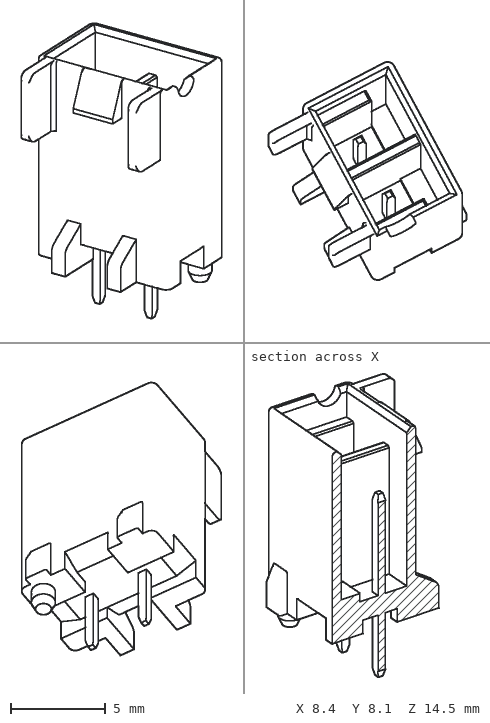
import cadquery as cq

BODY_X = 8.4
BODY_Y = 5.4
BODY_Z = 11.5
CORNER_RADIUS = 0.4
RIM_RADIUS = 0.2
WALL = 0.6
FRONT = -BODY_Y / 2
BACK = BODY_Y / 2
INNER_X = BODY_X / 2 - WALL
INNER_Y = BODY_Y / 2 - WALL

FLOOR_Z = 2.0
FLOOR_STEP_HEIGHT = 0.5
FLOOR_STEP_Y = 0.9
MOUTH_CHAMFER = 0.28

RAIL_TOP_Z = 9.7
RAIL_CHAMFER = 0.1
DIVIDER_WIDTH = 0.62
SIDE_RAIL_WIDTH = 0.65

NOTCH_RADIUS = 0.77
NOTCH_Y = -1.0

WEDGE_WIDTH = 2.5
WEDGE_REACH = 0.85
WEDGE_BOTTOM_Z = 9.3
WEDGE_LIP = 0.25

ARM_OUTER_X = 3.7
ARM_WIDTH = 0.6
ARM_REACH = 2.2
ARM_HEIGHT = 4.0
ARM_CORNER_RADIUS = 0.5
ARM_EDGE_RADIUS = 0.1
ARM_GUSSET = 0.2

FOOT_INNER_X = 1.33
FOOT_WIDTH = 0.85
FOOT_REACH = 1.5
FOOT_TOP_Z = 2.5
FOOT_SHOULDER_Z = 1.5
FOOT_RADIUS = 0.5

RIB_INNER_X = 2.2
RIB_WIDTH = 1.3
RIB_REACH = 0.5
RIB_TOP_Z = 2.5
RIB_SHOULDER_Z = 1.5
RIB_SHOULDER_RADIUS = 0.5
RIB_EDGE_RADIUS = 0.1

CHANNEL_MOUTH_Z = 1.3
CHANNEL_CEILING_Z = 0.8
CHANNEL_SLOPE_RUN = 1.2
SIDE_CHANNEL_FRONT_Y = -1.5
SIDE_CHANNEL_BACK_Y = 0.7

PIN_PITCH = 3.3
PIN_Y = -0.5
PIN_SIZE = 0.5
PIN_TIP_SIZE = 0.3
PIN_TIP_LENGTH = 0.42
PIN_TOP_Z = 8.0
PIN_BOTTOM_Z = -3.0

PEG_X = 3.2
PEG_Y = 1.85
PEG_DIAMETER = 1.27
PEG_TIP_DIAMETER = 0.83
PEG_SHOULDER_Z = -0.8
PEG_BOTTOM_Z = -1.3


def block(x_range, y_range, z_range):
    """Box spanning the given (low, high) pairs."""
    spans = (x_range, y_range, z_range)
    sizes = [high - low for low, high in spans]
    corner = [low for low, high in spans]
    return cq.Workplane("XY").box(*sizes, centered=False).translate(tuple(corner))


def prism_along_x(yz_points, x_low, x_high):
    """Solid with the given YZ outline between two X positions."""
    return cq.Workplane("YZ", origin=(x_low, 0, 0)).polyline(yz_points).close().extrude(x_high - x_low)


def with_mirror(solid):
    """The solid together with its mirror image across the YZ plane."""
    return solid.union(solid.mirror("YZ"))


def outer_body():
    """Box with rounded corners and a rounded rim."""
    box = cq.Workplane("XY").rect(BODY_X, BODY_Y).extrude(BODY_Z).edges("|Z").fillet(CORNER_RADIUS)
    return box.faces(">Z").edges().fillet(RIM_RADIUS)


def latch_wedge():
    """Wedge on the front wall that starts at the rim, where it is rounded like the rim."""
    wedge_outline = [
        (0, BODY_Z),
        (FRONT, BODY_Z),
        (FRONT - WEDGE_REACH, WEDGE_BOTTOM_Z + WEDGE_LIP),
        (FRONT - WEDGE_REACH, WEDGE_BOTTOM_Z),
        (0, WEDGE_BOTTOM_Z),
    ]
    wedge = prism_along_x(wedge_outline, -WEDGE_WIDTH / 2, WEDGE_WIDTH / 2)
    return wedge.faces(">Z").edges("<Y").fillet(RIM_RADIUS)


def cavity():
    """Space inside the housing: a stepped floor and a mouth that widens upwards."""
    main = block((-INNER_X, INNER_X), (-INNER_Y, INNER_Y), (FLOOR_Z, BODY_Z))
    step = block(
        (-INNER_X, INNER_X),
        (FLOOR_STEP_Y, INNER_Y),
        (FLOOR_Z, FLOOR_Z + FLOOR_STEP_HEIGHT),
    )
    mouth = (
        cq.Workplane("XY", origin=(0, 0, BODY_Z - MOUTH_CHAMFER))
        .rect(2 * INNER_X, 2 * INNER_Y)
        .workplane(offset=MOUTH_CHAMFER)
        .rect(2 * (INNER_X + MOUTH_CHAMFER), 2 * (INNER_Y + MOUTH_CHAMFER))
        .loft(ruled=True)
    )
    return main.cut(step).union(mouth)


def divider():
    """Wall between the two contacts, with chamfered top edges."""
    wall = block(
        (-DIVIDER_WIDTH / 2, DIVIDER_WIDTH / 2),
        (-INNER_Y - WALL / 2, INNER_Y + WALL / 2),
        (FLOOR_Z - WALL / 2, RAIL_TOP_Z),
    )
    return wall.faces(">Z").edges("|Y").chamfer(RAIL_CHAMFER)


def side_rails():
    """Rails on both side walls, with chamfered top edges on their free sides."""
    rail = block(
        (INNER_X - SIDE_RAIL_WIDTH, INNER_X + WALL / 2),
        (-INNER_Y - WALL / 2, FLOOR_STEP_Y),
        (FLOOR_Z - WALL / 2, RAIL_TOP_Z),
    )
    top = rail.faces(">Z").edges("<X or >Y")
    return with_mirror(top.chamfer(RAIL_CHAMFER))


def rim_notch():
    """Cylinder across the +X wall, with its axis at the rim."""
    return (
        cq.Workplane("YZ", origin=(INNER_X, 0, 0))
        .center(NOTCH_Y, BODY_Z)
        .circle(NOTCH_RADIUS)
        .extrude(2 * WALL)
    )


def guide_arms():
    """Arms reaching forward from the front wall, each with a gusset on its inner side."""
    arm_inner_x = ARM_OUTER_X - ARM_WIDTH
    arm_z = (BODY_Z - ARM_HEIGHT, BODY_Z)
    root_y = -INNER_Y - MOUTH_CHAMFER
    bar = block((arm_inner_x, ARM_OUTER_X), (FRONT - ARM_REACH, root_y), arm_z)
    rounded_in_side_profile = bar.faces("<Y").edges("|X").fillet(ARM_CORNER_RADIUS)
    rounded_in_plan = bar.faces("<Y").edges("|Z").fillet(ARM_EDGE_RADIUS)
    arm = rounded_in_side_profile.intersect(rounded_in_plan)
    slant = cq.selectors.NearestToPointSelector(
        (arm_inner_x - ARM_GUSSET / 2, FRONT - ARM_GUSSET / 2, BODY_Z)
    )
    gusset = (
        cq.Workplane("XY", origin=(0, 0, BODY_Z - ARM_HEIGHT))
        .moveTo(arm_inner_x, FRONT - ARM_GUSSET)
        .lineTo(arm_inner_x - ARM_GUSSET, FRONT)
        .lineTo(arm_inner_x - ARM_GUSSET, root_y)
        .lineTo(arm_inner_x, root_y)
        .close()
        .extrude(ARM_HEIGHT)
        .edges(slant)
        .fillet(RIM_RADIUS)
    )
    return with_mirror(arm.union(gusset))


def front_feet():
    """Feet with sloping tops and a rounded shoulder."""
    tip_y = FRONT - FOOT_REACH
    outline = [
        (FRONT + WALL / 2, 0),
        (tip_y, 0),
        (tip_y, FOOT_SHOULDER_Z),
        (FRONT, FOOT_TOP_Z),
        (FRONT + WALL / 2, FOOT_TOP_Z),
    ]
    shoulder = cq.selectors.NearestToPointSelector((FOOT_INNER_X + FOOT_WIDTH / 2, tip_y, FOOT_SHOULDER_Z))
    foot = prism_along_x(outline, FOOT_INNER_X, FOOT_INNER_X + FOOT_WIDTH)
    return with_mirror(foot.edges(shoulder).fillet(FOOT_RADIUS))


def rear_ribs():
    """Ribs with sloping tops, a rounded shoulder and rounded outer edges."""
    tip_y = BACK + RIB_REACH
    outline = [
        (BACK - WALL / 2, 0),
        (tip_y, 0),
        (tip_y, RIB_SHOULDER_Z),
        (BACK, RIB_TOP_Z),
        (BACK - WALL / 2, RIB_TOP_Z),
    ]
    middle_x = RIB_INNER_X + RIB_WIDTH / 2
    shoulder = cq.selectors.NearestToPointSelector((middle_x, tip_y, RIB_SHOULDER_Z))
    rib = prism_along_x(outline, RIB_INNER_X, RIB_INNER_X + RIB_WIDTH)
    rib = rib.edges(shoulder).fillet(RIB_SHOULDER_RADIUS)
    side_edges = rib.faces(">Y").edges("|Z")
    return with_mirror(side_edges.fillet(RIB_EDGE_RADIUS))


def channel_outline(low, high):
    """Section along a channel: level in the middle, rising towards both mouths."""
    return [
        (low, 0),
        (low, CHANNEL_MOUTH_Z),
        (low + CHANNEL_SLOPE_RUN, CHANNEL_CEILING_Z),
        (high - CHANNEL_SLOPE_RUN, CHANNEL_CEILING_Z),
        (high, CHANNEL_MOUTH_Z),
        (high, 0),
    ]


def bottom_channels():
    """Channels through the underside, one from front to back and one from side to side."""
    front_to_back = prism_along_x(channel_outline(FRONT, BACK), -FOOT_INNER_X, FOOT_INNER_X)
    side_to_side = (
        cq.Workplane("XZ", origin=(0, SIDE_CHANNEL_BACK_Y, 0))
        .polyline(channel_outline(-BODY_X / 2, BODY_X / 2))
        .close()
        .extrude(SIDE_CHANNEL_BACK_Y - SIDE_CHANNEL_FRONT_Y)
    )
    return front_to_back.union(side_to_side)


def contact_pin(x):
    """Square pin through the floor, tapered at both ends."""
    shank_bottom_z = PIN_BOTTOM_Z + PIN_TIP_LENGTH
    shank_top_z = PIN_TOP_Z - PIN_TIP_LENGTH
    pin = (
        cq.Workplane("XY", origin=(x, PIN_Y, shank_bottom_z))
        .rect(PIN_SIZE, PIN_SIZE)
        .extrude(shank_top_z - shank_bottom_z)
    )
    for shank_end_z, tip_length in ((shank_top_z, PIN_TIP_LENGTH), (shank_bottom_z, -PIN_TIP_LENGTH)):
        tip = (
            cq.Workplane("XY", origin=(x, PIN_Y, shank_end_z))
            .rect(PIN_SIZE, PIN_SIZE)
            .workplane(offset=tip_length)
            .rect(PIN_TIP_SIZE, PIN_TIP_SIZE)
            .loft(ruled=True)
        )
        pin = pin.union(tip)
    return pin


def locating_peg():
    """Round peg with a conical tip."""
    return (
        cq.Workplane("XZ")
        .moveTo(0, 0)
        .lineTo(PEG_DIAMETER / 2, 0)
        .lineTo(PEG_DIAMETER / 2, PEG_SHOULDER_Z)
        .lineTo(PEG_TIP_DIAMETER / 2, PEG_BOTTOM_Z)
        .lineTo(0, PEG_BOTTOM_Z)
        .close()
        .revolve(360, (0, 0, 0), (0, 1, 0))
        .translate((PEG_X, PEG_Y, 0))
    )


result = outer_body().union(latch_wedge()).cut(cavity()).union(divider()).union(side_rails())
result = result.union(guide_arms()).union(front_feet()).union(rear_ribs())
result = result.cut(rim_notch()).cut(bottom_channels())
for pin_x in (-PIN_PITCH / 2, PIN_PITCH / 2):
    result = result.union(contact_pin(pin_x))
result = result.union(locating_peg())